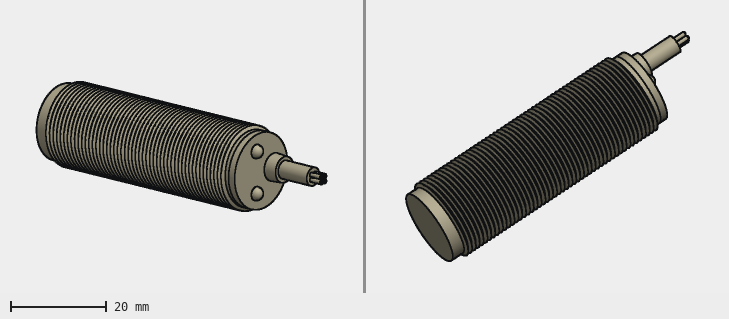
import cadquery as cq

BARREL_RADIUS = 8.3
BARREL_LENGTH = 53.8

THREAD_PITCH = 1.0
THREAD_TURNS = 50
THREAD_START = 2.9
THREAD_CREST_RADIUS = 9.13
THREAD_BASE_WIDTH = 0.94
THREAD_EMBED = 0.03

CAP_THICKNESS = 1.7
CAP_REAR = BARREL_LENGTH + CAP_THICKNESS

DOME_RADIUS = 1.5
DOME_Y = -1.55
DOME_Z = 4.58

CABLE_Y = 4.0
SLEEVE_BASE_RADIUS = 3.02
SLEEVE_END_RADIUS = 2.82
SLEEVE_LENGTH = 3.0
JACKET_RADIUS = 2.0
JACKET_LENGTH = 8.0
WIRE_RADIUS = 0.5
WIRE_OFFSET = 0.55
WIRE_LENGTH = 3.0
WIRE_END_CHAMFER = 0.2


def disc_plane(x, y=0.0):
    """Workplane facing +X, with local x along Y and local y along Z."""
    return cq.Workplane("YZ", origin=(x, y, 0))


def make_thread():
    """Helical ridge, wound about Z, then laid along X so that it starts on the +Y side."""
    inner = BARREL_RADIUS - THREAD_EMBED
    half = THREAD_BASE_WIDTH / 2
    flank = half * (THREAD_CREST_RADIUS - inner) / (THREAD_CREST_RADIUS - BARREL_RADIUS)
    helix = cq.Wire.makeHelix(THREAD_PITCH, THREAD_PITCH * THREAD_TURNS, BARREL_RADIUS)
    profile = cq.Workplane("XZ").polyline(
        [(inner, -flank), (THREAD_CREST_RADIUS, 0), (inner, flank)]
    ).close()
    ridge = profile.sweep(cq.Workplane(obj=helix), isFrenet=True)
    return (
        ridge.rotate((0, 0, 0), (0, 0, 1), 90)
        .rotate((0, 0, 0), (0, 1, 0), 90)
        .translate((THREAD_START, 0, 0))
    )


def make_barrel():
    core = disc_plane(0).circle(BARREL_RADIUS).extrude(BARREL_LENGTH)
    return core.union(make_thread())


def make_dome(z):
    """Hemisphere standing on the cap, its pole pointing along +X."""
    quarter = (
        cq.Workplane("XY", origin=(CAP_REAR, DOME_Y, z))
        .moveTo(DOME_RADIUS, 0)
        .radiusArc((0, DOME_RADIUS), -DOME_RADIUS)
        .lineTo(0, 0)
        .close()
    )
    return quarter.revolve(360, (0, 0, 0), (1, 0, 0))


def make_sleeve():
    base_centre = cq.Vector(CAP_REAR, CABLE_Y, 0)
    along_x = cq.Vector(1, 0, 0)
    cone = cq.Solid.makeCone(SLEEVE_BASE_RADIUS, SLEEVE_END_RADIUS, SLEEVE_LENGTH, base_centre, along_x)
    return cq.Workplane(obj=cone)


def make_end_cap():
    """Cap with its domes, cable sleeve, jacket and wires."""
    jacket_start = CAP_REAR + SLEEVE_LENGTH
    wire_start = jacket_start + JACKET_LENGTH
    cap = disc_plane(BARREL_LENGTH).circle(BARREL_RADIUS).extrude(CAP_THICKNESS)
    for z in (-DOME_Z, DOME_Z):
        cap = cap.union(make_dome(z))
    cap = cap.union(make_sleeve())
    cap = cap.union(disc_plane(jacket_start, CABLE_Y).circle(JACKET_RADIUS).extrude(JACKET_LENGTH))
    wires = (
        disc_plane(wire_start, CABLE_Y)
        .rect(2 * WIRE_OFFSET, 2 * WIRE_OFFSET, forConstruction=True)
        .vertices()
        .circle(WIRE_RADIUS)
        .extrude(WIRE_LENGTH)
        .faces(">X")
        .chamfer(WIRE_END_CHAMFER)
    )
    return cap.union(wires)


barrel = make_barrel()
end_cap = make_end_cap()
result = cq.Compound.makeCompound([barrel.val(), end_cap.val()])